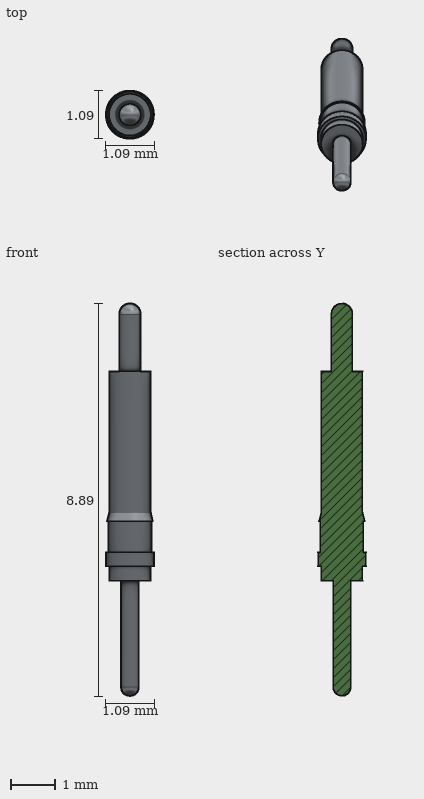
import cadquery as cq


tail_diameter = 0.41
plunger_diameter = 0.49
barrel_diameter = 0.94
seat_diameter = 0.99
barb_diameter = 1.04
flange_diameter = 1.09

overall_length = 8.89
barrel_bottom = 2.605
flange_bottom = 2.93
flange_top = 3.25
barb_bottom = 3.96
barb_top = 4.16
barrel_top = 7.35


def cylinder(diameter, bottom, top):
    """Solid cylinder on the Z axis between two heights."""
    return cq.Workplane("XY").workplane(offset=bottom).circle(diameter / 2).extrude(top - bottom)


def cone(bottom_diameter, top_diameter, bottom, top):
    """Solid cone frustum on the Z axis between two heights."""
    return (
        cq.Workplane("XY")
        .workplane(offset=bottom)
        .circle(bottom_diameter / 2)
        .workplane(offset=top - bottom)
        .circle(top_diameter / 2)
        .loft(ruled=True)
    )


def round_ended_pin(diameter, tip, base):
    """Cylinder from the base towards the tip, closed there by a hemisphere."""
    radius = diameter / 2
    direction = 1 if tip > base else -1
    dome_center = tip - direction * radius
    dome_side = radius * 0.5 ** 0.5
    return (
        cq.Workplane("XZ")
        .moveTo(0, base)
        .lineTo(radius, base)
        .lineTo(radius, dome_center)
        .threePointArc((dome_side, dome_center + direction * dome_side), (0, tip))
        .close()
        .revolve(360, (0, 0, 0), (0, 1, 0))
    )


tail = round_ended_pin(tail_diameter, 0, barrel_bottom)
plunger = round_ended_pin(plunger_diameter, overall_length, barrel_top)
barrel = cylinder(barrel_diameter, barrel_bottom, barrel_top)
flange = cylinder(flange_diameter, flange_bottom, flange_top)
seat = cylinder(seat_diameter, flange_top, barb_bottom)

barb = cone(barb_diameter, barrel_diameter, barb_bottom, barb_top)

result = barrel.union(flange).union(seat).union(barb).union(tail).union(plunger)